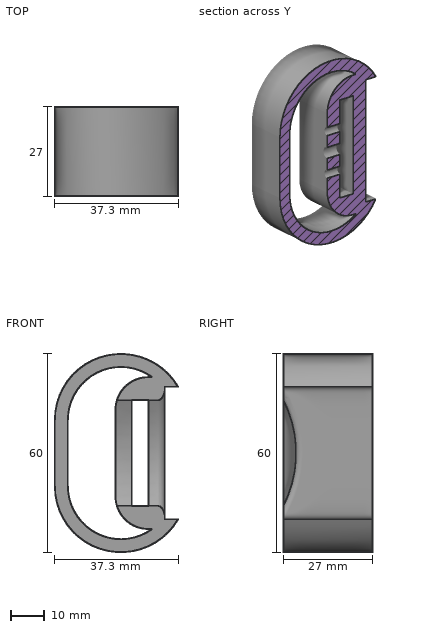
import cadquery as cq
import math

depth = 27.0
outer_radius = 20.0
wall = 4.0
inner_radius = outer_radius - wall
arc_center_z = 10.0
opening_half_height = 20.0
tip_x = math.sqrt(outer_radius**2 - (opening_half_height - arc_center_z) ** 2)

layer = 5.0
lip_depth = 4.0
block_front_x = tip_x - lip_depth
front_plate_back_x = block_front_x - layer
slot_back_x = front_plate_back_x - layer
block_back_x = slot_back_x - layer
block_half_height = 23.0
block_corner_radius = 10.0
slot_half_height = 16.0

scoop_radius = 35.0
scoop_edge_radius = 2.0
scoop_center_y = -math.sqrt(scoop_radius**2 - slot_half_height**2)

hole_y = depth / 2
center_hole_radius = 1.75
side_hole_radius = 1.25
side_hole_z = 7.0


def box(x_min, x_max, half_height):
    """Box over the full depth, symmetric about Z = 0."""
    return cq.Workplane("XY").box(
        x_max - x_min, depth, 2 * half_height, centered=(False, False, True)
    ).translate((x_min, 0, 0))


def stadium(radius):
    """Solid stadium, long along Z, over the full depth."""
    return (
        cq.Workplane("XZ")
        .slot2D(2 * (arc_center_z + radius), 2 * radius, 90)
        .extrude(-depth)
    )


def x_cylinder(radius, y, z, x_min, x_max):
    """Cylinder along X."""
    return cq.Workplane("YZ", origin=(x_min, y, z)).circle(radius).extrude(x_max - x_min)


def make_block():
    """Block with rounded -X corners, trimmed to the outline of the band."""
    block = box(block_back_x, outer_radius, block_half_height)
    block = block.edges("|Y and <X").fillet(block_corner_radius)
    return block.intersect(stadium(outer_radius))


def make_scoop():
    """Scoop cutter that flares with a rounded edge at the front face of the block."""
    flare_start_x = block_front_x - scoop_edge_radius
    flare_radius = scoop_radius + scoop_edge_radius
    arc_reach = scoop_edge_radius * math.sqrt(0.5)
    profile = (
        cq.Workplane("XY", origin=(0, scoop_center_y, 0))
        .moveTo(block_back_x, 0)
        .lineTo(block_back_x, scoop_radius)
        .lineTo(flare_start_x, scoop_radius)
        .threePointArc(
            (flare_start_x + arc_reach, flare_radius - arc_reach),
            (block_front_x, flare_radius),
        )
        .lineTo(block_front_x, 0)
        .close()
    )
    return profile.revolve(360, (0, 0, 0), (1, 0, 0))


def make_back_plate_holes():
    """Central hole with a smaller hole above and below it."""
    holes = x_cylinder(center_hole_radius, hole_y, 0, block_back_x, slot_back_x)
    for z in (-side_hole_z, side_hole_z):
        holes = holes.union(x_cylinder(side_hole_radius, hole_y, z, block_back_x, slot_back_x))
    return holes


band = stadium(outer_radius).cut(stadium(inner_radius))
opening = box(block_front_x, outer_radius, opening_half_height)
slot = box(slot_back_x, front_plate_back_x, slot_half_height)

result = (
    band.union(make_block())
    .cut(opening)
    .cut(slot)
    .cut(make_scoop())
    .cut(make_back_plate_holes())
)